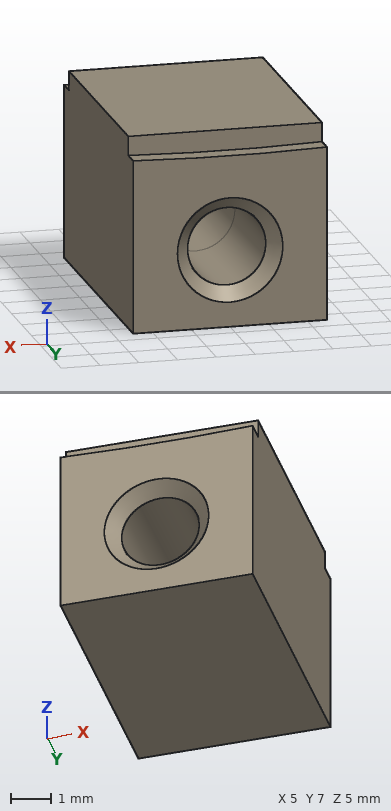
import cadquery as cq

length = 7.0
width = 5.0
height = 5.0

ledge_length = 0.5
ledge_depth = 0.5
ledge_sag = 0.05

bore_diameter = 2.015
countersink_diameter = 2.715
countersink_depth = (countersink_diameter - bore_diameter) / 2
bore_height = 2.0


def make_block():
    return cq.Workplane("XY").box(width, length, height, centered=(True, True, False))


def make_ledge_cut():
    """Material removed above the -Y ledge."""
    edge_z = height - ledge_depth
    return (
        cq.Workplane("XZ", origin=(0, -length / 2, 0))
        .moveTo(-width / 2, height)
        .lineTo(-width / 2, edge_z)
        .threePointArc((0, edge_z - ledge_sag), (width / 2, edge_z))
        .lineTo(width / 2, height)
        .close()
        .extrude(-ledge_length)
    )


def make_bore_half():
    """Bore and countersink from the -Y end to mid-length, revolved about the bore axis."""
    bore_radius = bore_diameter / 2
    end_y = -length / 2
    return (
        cq.Workplane("XY", origin=(0, 0, bore_height))
        .moveTo(0, end_y)
        .lineTo(countersink_diameter / 2, end_y)
        .lineTo(bore_radius, end_y + countersink_depth)
        .lineTo(bore_radius, 0)
        .lineTo(0, 0)
        .close()
        .revolve(360, (0, 0, 0), (0, 1, 0))
    )


result = make_block()
for end_cut in (make_ledge_cut(), make_bore_half()):
    result = result.cut(end_cut).cut(end_cut.mirror("XZ"))